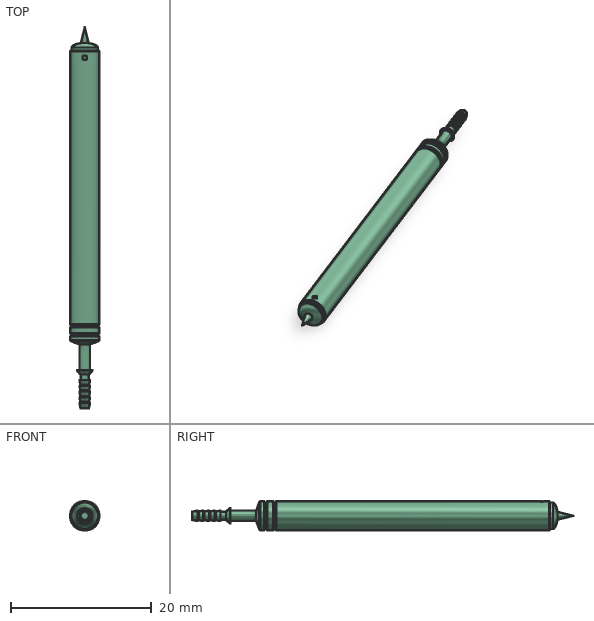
import cadquery as cq

length = 54.2
body_diameter = 4.2
body_radius = body_diameter / 2

root_radius = 0.6
barb_radius = 0.75
tip_length = 0.75
barb_count = 4
barb_pitch = 0.8
barb_width = 0.6
barb_rear_radius = 0.65
collar_radius = 1.1
collar_front = 5.5
collar_rim = 0.1
collar_taper = 0.55
stem_radius = 0.75

body_rear = 9.1
rear_cone_length = 0.45
rear_chamfer = 0.19
groove_starts = (10.25, 11.5)
groove_floor_width = 0.25
groove_taper = 0.2
groove_depth = 0.15

cap_front = 50.9
cap_chamfer = 0.15
nose_radius = 1.9
nose_edge = 51.35
nose_height = 0.6
needle_radius = 0.6
needle_length = 2.4

dimple_y = 49.85
dimple_radius = 0.3
dimple_depth = 0.2


def turn(profile):
    """Close a half profile (X = radius) and revolve it about the Y axis."""
    return profile.close().revolve(360, (0, 0, 0), (0, 1, 0))


def make_terminal():
    profile = (
        cq.Workplane("XY")
        .lineTo(root_radius, 0)
        .lineTo(barb_radius, tip_length)
        .lineTo(root_radius, tip_length)
    )
    for index in range(1, barb_count + 1):
        barb_front = tip_length + index * barb_pitch
        barb_rear = barb_front - barb_width
        profile = (
            profile.lineTo(root_radius, barb_rear)
            .lineTo(barb_rear_radius, barb_rear)
            .lineTo(barb_radius, barb_front)
            .lineTo(root_radius, barb_front)
        )
    rim_rear = collar_front - collar_rim
    stem_front = body_rear + rear_cone_length
    return turn(
        profile.lineTo(root_radius, rim_rear - collar_taper)
        .lineTo(collar_radius, rim_rear)
        .lineTo(collar_radius, collar_front)
        .lineTo(stem_radius, collar_front)
        .lineTo(stem_radius, stem_front)
        .lineTo(0, stem_front)
    )


def make_body():
    groove_radius = body_radius - groove_depth
    chamfer_rear = body_rear + rear_cone_length
    profile = (
        cq.Workplane("XY")
        .moveTo(0, body_rear)
        .lineTo(stem_radius, body_rear)
        .lineTo(body_radius - rear_chamfer, chamfer_rear)
        .lineTo(body_radius, chamfer_rear + rear_chamfer)
    )
    for start in groove_starts:
        floor_front = start + groove_floor_width
        profile = (
            profile.lineTo(body_radius, start)
            .lineTo(groove_radius, start)
            .lineTo(groove_radius, floor_front)
            .lineTo(body_radius, floor_front + groove_taper)
        )
    nose_face = nose_edge + nose_height
    arc_width = nose_radius - needle_radius
    arc_radius = (arc_width**2 + nose_height**2) / (2 * nose_height)
    return turn(
        profile.lineTo(body_radius, cap_front - cap_chamfer)
        .lineTo(body_radius - cap_chamfer, cap_front)
        .lineTo(nose_radius, cap_front)
        .lineTo(nose_radius, nose_edge)
        .radiusArc((needle_radius, nose_face), -arc_radius)
        .lineTo(0, nose_face)
    )


def make_needle():
    return turn(
        cq.Workplane("XY")
        .moveTo(0, nose_edge)
        .lineTo(needle_radius, nose_edge)
        .lineTo(needle_radius, length - needle_length)
        .lineTo(0, length)
    )


def make_dimple():
    floor_height = body_radius - dimple_depth
    return (
        cq.Workplane("XY", origin=(0, dimple_y, floor_height))
        .circle(dimple_radius)
        .extrude(2 * dimple_depth)
    )


result = make_body().union(make_terminal()).union(make_needle()).cut(make_dimple())